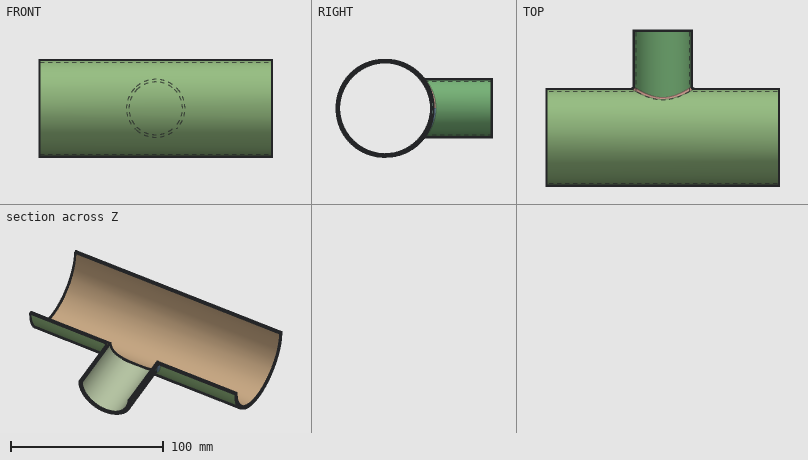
import cadquery as cq

run_length = 152.4
run_outer_diameter = 63.5
run_bore_diameter = 60.2

branch_outer_diameter = 38.1
branch_bore_diameter = 34.8
branch_reach = 69.85

blend_radius = 1.5875


def run_cylinder(diameter):
    """Full-length cylinder on the X axis, centred on the origin."""
    return cq.Workplane("YZ").circle(diameter / 2).extrude(run_length / 2, both=True)


def branch_cylinder(diameter):
    """Cylinder on the Y axis, from the run axis to the branch end face."""
    return cq.Workplane("XZ").circle(diameter / 2).extrude(-branch_reach)


def blended_outside():
    """Solid tee with the outside junction of the two tubes filleted."""
    tee = run_cylinder(run_outer_diameter).union(branch_cylinder(branch_outer_diameter))
    junction_half = branch_outer_diameter / 2 + blend_radius
    junction_zone = cq.selectors.BoxSelector(
        (-junction_half, 0, -junction_half),
        (junction_half, run_outer_diameter / 2 + blend_radius, junction_half),
        boundingbox=True,
    )
    return tee.edges(junction_zone).fillet(blend_radius)


result = (
    blended_outside()
    .cut(run_cylinder(run_bore_diameter))
    .cut(branch_cylinder(branch_bore_diameter))
)